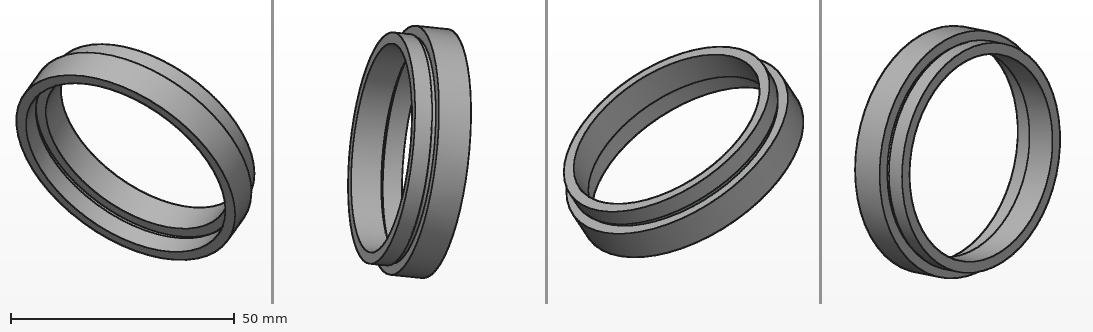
import cadquery as cq

flange_diameter = 56.0
spigot_diameter = 52.0
groove_diameter = 51.0
counterbore_diameter = 51.0
undercut_diameter = 52.0
bore_diameter = 47.0

total_length = 12.5
flange_length = 7.5
groove_width = 1.0
counterbore_depth = 5.5
undercut_width = 1.0


def cylinder(diameter, start, length):
    """Solid cylinder along +Y, beginning at Y = start."""
    base = cq.Workplane("XZ", origin=(0, start, 0))
    return base.circle(diameter / 2).extrude(-length)


spigot_start = flange_length + groove_width
flange = cylinder(flange_diameter, 0, flange_length)
groove_floor = cylinder(groove_diameter, flange_length, groove_width)
spigot = cylinder(spigot_diameter, spigot_start, total_length - spigot_start)
body = flange.union(groove_floor).union(spigot)

bore = cylinder(bore_diameter, 0, total_length)
counterbore = cylinder(counterbore_diameter, 0, counterbore_depth)
undercut = cylinder(undercut_diameter, counterbore_depth - undercut_width, undercut_width)
result = body.cut(bore).cut(counterbore).cut(undercut)